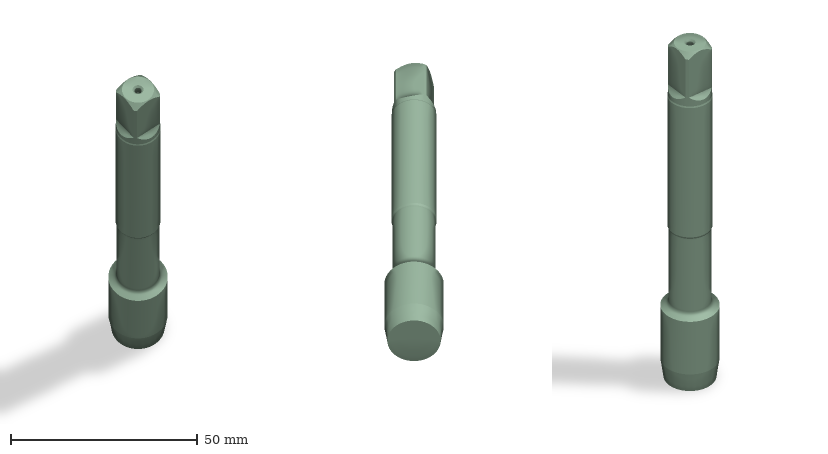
import cadquery as cq
import math

total_length = 110.0

head_diameter = 16.0
tip_diameter = 14.3
tip_taper_height = 6.0
head_height = 23.1

neck_diameter = 11.7
neck_top = 49.3
shoulder_land_height = 0.3
shoulder_slope = math.radians(30.0)
shoulder_fillet_radius = 1.1

shank_diameter = 12.2
shank_bottom = 49.9
shank_top = 92.6
shank_bevel_height = 0.4

collar_diameter = 11.9
square_width = 9.0
square_bottom = 95.9
end_face_diameter = 8.6
end_bevel_height = 1.5
cutter_clearance = 0.1

centre_diameter = 2.0
centre_mouth_diameter = 3.0
centre_depth = 2.8
drill_point_angle = 120.0


def make_cutting_head():
    """Threaded head, simplified to a cylinder with a tapered lead-in."""
    return (
        cq.Workplane("XZ")
        .lineTo(tip_diameter / 2, 0)
        .lineTo(head_diameter / 2, tip_taper_height)
        .lineTo(head_diameter / 2, head_height)
        .lineTo(0, head_height)
        .close()
        .revolve(360, (0, 0, 0), (0, 1, 0))
    )


def make_shank_blank():
    """Turned outline of the shank, from the shoulder to the bevelled end."""
    neck_radius = neck_diameter / 2
    head_radius = head_diameter / 2
    land_top = head_height + shoulder_land_height
    foot_radius = neck_radius + shoulder_fillet_radius * (1 - math.sin(shoulder_slope))
    foot_z = land_top + (head_radius - foot_radius) * math.tan(shoulder_slope)
    fillet_top = foot_z + shoulder_fillet_radius * math.cos(shoulder_slope)
    return (
        cq.Workplane("XZ")
        .moveTo(0, head_height)
        .lineTo(head_radius, head_height)
        .lineTo(head_radius, land_top)
        .lineTo(foot_radius, foot_z)
        .tangentArcPoint((neck_radius, fillet_top), relative=False)
        .lineTo(neck_radius, neck_top)
        .lineTo(shank_diameter / 2, shank_bottom)
        .lineTo(shank_diameter / 2, shank_top)
        .lineTo(collar_diameter / 2, shank_top + shank_bevel_height)
        .lineTo(collar_diameter / 2, total_length - end_bevel_height)
        .lineTo(end_face_diameter / 2, total_length)
        .lineTo(0, total_length)
        .close()
        .revolve(360, (0, 0, 0), (0, 1, 0))
    )


def make_flat_cutter():
    """Removes one side of the drive square, with a 45 degree run-out below."""
    inner = square_width / 2
    outer = collar_diameter / 2 + cutter_clearance
    return (
        cq.Workplane("XZ")
        .moveTo(inner, total_length)
        .lineTo(inner, square_bottom)
        .lineTo(outer, square_bottom - (outer - inner))
        .lineTo(outer, total_length)
        .close()
        .extrude(collar_diameter, both=True)
    )


def make_centre_hole():
    """Countersunk drilled centre with a conical bottom."""
    countersink_depth = (centre_mouth_diameter - centre_diameter) / 2
    point_height = centre_diameter / 2 / math.tan(math.radians(drill_point_angle / 2))
    drill_bottom = total_length - centre_depth
    return (
        cq.Workplane("XZ")
        .moveTo(0, total_length)
        .lineTo(centre_mouth_diameter / 2, total_length)
        .lineTo(centre_diameter / 2, total_length - countersink_depth)
        .lineTo(centre_diameter / 2, drill_bottom)
        .lineTo(0, drill_bottom - point_height)
        .close()
        .revolve(360, (0, 0, 0), (0, 1, 0))
    )


def make_shank():
    """Shank with neck, drive square and centre hole."""
    body = make_shank_blank()
    flat_cutter = make_flat_cutter()
    for angle in (0, 90, 180, 270):
        body = body.cut(flat_cutter.rotate((0, 0, 0), (0, 0, 1), angle))
    return body.cut(make_centre_hole())


cutting_head = make_cutting_head()
shank = make_shank()

result = cq.Compound.makeCompound([cutting_head.val(), shank.val()])